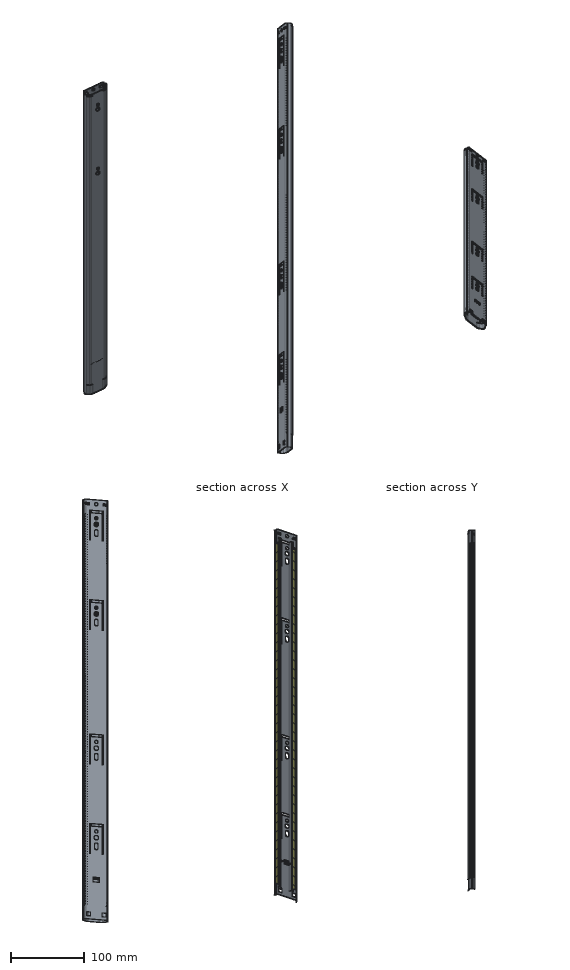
import cadquery as cq
import math

length = 600.0
depth = 12.7
overall_width = 35.98
sheet = 1.2

drawer_half_width = 16.5
drawer_bend_radius = 1.6
drawer_flange_depth = 2.8

raceway_radius = 4.0
raceway_x = 6.1
raceway_y = overall_width / 2 - raceway_radius
lip_angle = 38.0
shoulder_angle = 47.5
base_web_half = 12.4
base_corner_radius = 4.6
base_end_web_half = 10.5
base_end_corner_radius = 8.5
lower_pressed_end = 19.0
upper_pressed_end = 3.0

middle_bottom = -285.0
middle_top = 289.0
middle_web_x = 5.7
middle_web_half = 5.2
middle_slope_angle = 45.0
middle_crown_x = 2.4
middle_half_width = 11.7
middle_flange_end_x = 9.0

retainer_length = 560.0
retainer_gap = 0.5
outer_retainer_x = (5.0, 7.4)
outer_retainer_outer_y = 15.8
inner_retainer_x = (1.7, 3.4)
inner_retainer_outer_y = 14.8

tongue_tops = (284.6, 156.6, -35.4, -163.4)
through_tongue_tops = tongue_tops[:2]
tongue_cut_half = 9.8
tongue_cut_width = 1.6
tongue_cut_top_width = 3.6
tongue_cut_length = 42.6
small_hole_drop = 10.7
small_hole_diameter = 4.6
large_hole_drop = 19.6
large_hole_diameter = 6.4
oblong_drop = 32.0
oblong_length = 9.8
oblong_width = 5.0
top_hole_z = 293.8
top_hole_diameter = small_hole_diameter

upper_window_y = (9.8, 15.2)
upper_window_z = (292.2, 295.3)
lower_window_y = (8.1, 13.6)
lower_window_z = (-295.5, -290.0)
latch_window_y = (-4.6, 4.6)
latch_window_z = (-246.5, -239.8)
stop_setback = 0.4
stop_reach = 3.6
end_plate_reach = 11.0

overrun = 1.0
cut_x = (-overrun, sheet + overrun)


def block(x_range, y_range, z_range):
    """Box between the given limits along each axis."""
    sizes = [high - low for low, high in (x_range, y_range, z_range)]
    corner = (x_range[0], y_range[0], z_range[0])
    return cq.Workplane("XY").box(*sizes, centered=False).translate(corner)


def mirrored(y_range):
    """The same limits on the opposite side of the XZ plane."""
    return (-y_range[1], -y_range[0])


def along_x(y, z):
    """Sketch plane facing +X, just outside the drawer rail, centred on the given Y and Z."""
    return cq.Workplane("YZ", origin=(-overrun, y, z))


def through_hole(diameter, z):
    """Round cutter through the whole depth of the slide."""
    return along_x(0, z).circle(diameter / 2).extrude(depth + 2 * overrun)


def tongue_holes(top):
    """Cutters for the two round holes of a tongue."""
    small = through_hole(small_hole_diameter, top - small_hole_drop)
    large = through_hole(large_hole_diameter, top - large_hole_drop)
    return small.add(large).combine()


def drawer_section():
    """Shallow channel with rounded outer corners, open towards +X."""
    inner = drawer_half_width - sheet
    outside = (
        cq.Workplane("XY")
        .rect(drawer_flange_depth, 2 * drawer_half_width)
        .extrude(length)
        .translate((drawer_flange_depth / 2, 0, -length / 2))
        .edges("|Z and <X")
        .fillet(drawer_bend_radius)
    )
    inside = block((sheet, depth), (-inner, inner), (-length, length))
    inside = inside.edges("|Z and <X").fillet(drawer_bend_radius - sheet)
    return outside.cut(inside)


def tongue_cut(top):
    """U-shaped cut that frees a tongue of the web on three sides."""
    bottom = top - tongue_cut_length
    tongue_half = tongue_cut_half - tongue_cut_width
    frame = block(cut_x, (-tongue_cut_half, tongue_cut_half), (bottom, top))
    tongue = block(cut_x, (-tongue_half, tongue_half), (bottom, top - tongue_cut_top_width))
    return frame.cut(tongue)


def oblong_cut(top):
    """Oblong hole, long along Z, at the lower part of a tongue."""
    return along_x(0, top - oblong_drop).slot2D(oblong_length, oblong_width, 90).extrude(sheet + 2 * overrun)


def window(rail, y_range, z_range):
    """Rail with a rectangular opening through its web."""
    return rail.cut(block(cut_x, y_range, z_range))


def window_with_stop(rail, y_range, z_range):
    """Window whose metal is bent inwards along its upper edge as a stop tab."""
    tab_z = (z_range[1] - sheet, z_range[1])
    return window(rail, y_range, z_range).union(block((stop_setback, stop_reach), y_range, tab_z))


def make_drawer_rail():
    """Channel with four mounting tongues, a top hole, windows and stop tabs."""
    rail = drawer_section()
    for top in tongue_tops:
        rail = rail.cut(tongue_cut(top)).cut(tongue_holes(top)).cut(oblong_cut(top))
    top_hole = along_x(0, top_hole_z).circle(top_hole_diameter / 2).extrude(sheet + 2 * overrun)
    rail = rail.cut(top_hole)
    for y_range in (upper_window_y, mirrored(upper_window_y)):
        rail = window_with_stop(rail, y_range, upper_window_z)
    for y_range in (lower_window_y, mirrored(lower_window_y)):
        rail = window(rail, y_range, lower_window_z)
    return window_with_stop(rail, latch_window_y, latch_window_z)


def raceway_point(radius, angle, side):
    """Point on a raceway; the angle runs from the widest point towards +X."""
    turn = math.radians(angle)
    return (raceway_x + radius * math.sin(turn), side * (raceway_y + radius * math.cos(turn)))


def base_section(web_half, corner_radius, bottom, top):
    """Stretch of the base rail whose web has the given half-width and corner radius."""
    outer = raceway_radius
    inner = raceway_radius - sheet
    inner_web = depth - sheet
    section = (
        cq.Workplane("XY", origin=(0, 0, bottom))
        .moveTo(*raceway_point(outer, -lip_angle, 1))
        .threePointArc(raceway_point(outer, 0, 1), raceway_point(outer, shoulder_angle, 1))
        .lineTo(depth, web_half)
        .lineTo(depth, -web_half)
        .lineTo(*raceway_point(outer, shoulder_angle, -1))
        .threePointArc(raceway_point(outer, 0, -1), raceway_point(outer, -lip_angle, -1))
        .lineTo(*raceway_point(inner, -lip_angle, -1))
        .threePointArc(raceway_point(inner, 0, -1), raceway_point(inner, shoulder_angle, -1))
        .lineTo(inner_web, sheet / 2 - web_half)
        .lineTo(inner_web, web_half - sheet / 2)
        .lineTo(*raceway_point(inner, shoulder_angle, 1))
        .threePointArc(raceway_point(inner, 0, 1), raceway_point(inner, -lip_angle, 1))
        .close()
        .extrude(top - bottom)
    )
    section = section.faces(">X").edges("|Z").fillet(corner_radius)
    inner_corners = section.edges("|Z").filter(lambda edge: math.isclose(edge.Center().x, inner_web))
    return inner_corners.fillet(corner_radius - sheet)


def make_base_rail():
    """Curled channel whose two ends are pressed narrower."""
    lower_break = lower_pressed_end - length / 2
    upper_break = length / 2 - upper_pressed_end
    rail = base_section(base_web_half, base_corner_radius, lower_break, upper_break)
    for bottom, top in ((-length / 2, lower_break), (upper_break, length / 2)):
        rail = rail.union(base_section(base_end_web_half, base_end_corner_radius, bottom, top))
    for top in through_tongue_tops:
        rail = rail.cut(tongue_holes(top))
    return rail


def make_middle_rail():
    """Hat section: web, slopes towards -X, crowns and flanges towards +X, with an end plate."""
    slope_run = (middle_web_x - middle_crown_x) / math.tan(math.radians(middle_slope_angle))
    bend_shift = sheet * math.tan(math.radians(middle_slope_angle / 2))
    crown_start = middle_web_half + slope_run
    flange_inner = middle_half_width - sheet
    half_outline = [
        (middle_web_x, middle_web_half),
        (middle_crown_x, crown_start),
        (middle_crown_x, middle_half_width),
        (middle_flange_end_x, middle_half_width),
        (middle_flange_end_x, flange_inner),
        (middle_crown_x + sheet, flange_inner),
        (middle_crown_x + sheet, crown_start + bend_shift),
        (middle_web_x + sheet, middle_web_half + bend_shift),
    ]
    other_half = [(x, -y) for x, y in reversed(half_outline)]
    rail = (
        cq.Workplane("XY", origin=(0, 0, middle_bottom))
        .polyline(half_outline + other_half)
        .close()
        .extrude(middle_top - middle_bottom)
    )
    plate_x = (middle_crown_x + sheet, end_plate_reach)
    plate_z = (latch_window_z[1] - sheet, latch_window_z[1])
    rail = rail.union(block(plate_x, (-flange_inner, flange_inner), plate_z))
    for top in through_tongue_tops:
        rail = rail.cut(tongue_holes(top))
    return rail


def make_retainer(x_range, outer_y, side):
    """Straight retainer strip beside the middle rail, on the +Y or -Y side."""
    y_range = (middle_half_width + retainer_gap, outer_y)
    if side < 0:
        y_range = mirrored(y_range)
    return block(x_range, y_range, (-retainer_length / 2, retainer_length / 2))


drawer_rail = make_drawer_rail()
middle_rail = make_middle_rail()
base_rail = make_base_rail()
outer_retainers = [make_retainer(outer_retainer_x, outer_retainer_outer_y, side) for side in (1, -1)]
inner_retainers = [make_retainer(inner_retainer_x, inner_retainer_outer_y, side) for side in (1, -1)]

bodies = [drawer_rail, middle_rail, base_rail, *outer_retainers, *inner_retainers]
result = cq.Compound.makeCompound([body.solids().val() for body in bodies])